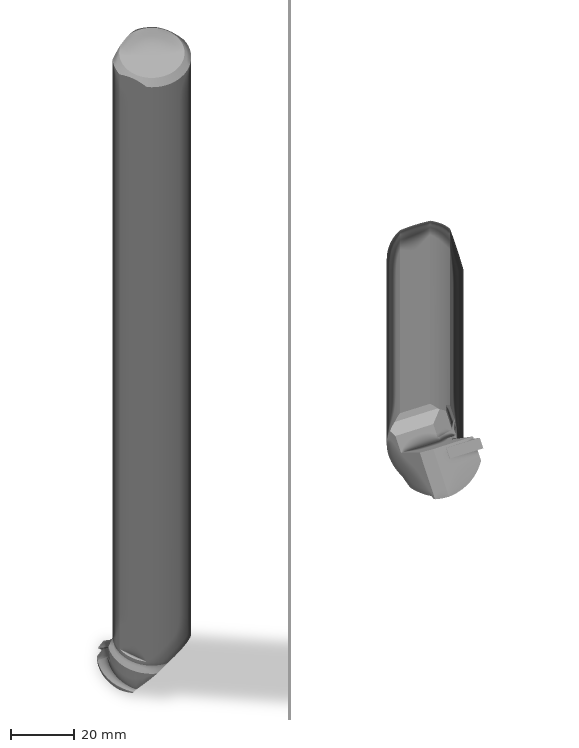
import cadquery as cq
import math

length = 301.2
shank_diameter = 25.0
shank_radius = shank_diameter / 2
side_flat_x = -10.2
front_flat_y = 11.5
top_chamfer = 2.0
collar_z = 15.5

rim_axis_x = -1.8
rim_axis_y = 1.2
rim_radius = 16.5
wall_radius = 14.2
rim_z = 2.0
rim_top_z = 4.2
rim_top_radius = 14.0
wall_top_z = 11.5
head_top_z = 13.5
head_face_y = 1.0
shank_end_z = 10.5

relief_top_z = 17.0
relief_foot_x = 1.8
relief_foot_z = 1.5
bottom_bend_x = -2.7
bottom_bend_z = 0.5

groove_x = -9.0
groove_foot_z = 6.3

insert_edge = 11.0
insert_angle = 35.0
insert_tilt = 3.0
insert_face_y = 0.0
insert_thickness = 3.5
overall_width = 30.5
insert_tip_x = shank_radius - overall_width
slope_foot_z = 1.0

gullet_floor_x = -9.3
gullet_side_y = 0.3
gullet_top_z = 29.2
gullet_floor_top_z = 25.0
gullet_floor_bottom_z = 16.0
gullet_end_x = -4.5
gullet_blend = 1.8
gullet_blend_depth = 0.5

bevel_start_z = 19.3
bevel_bend_y = 10.2
bevel_bend_z = 14.5
bevel_end_y = 6.5

reach = 36.0
upper_edge_slope = math.tan(math.radians(insert_angle + insert_tilt))


def prism_along_y(points, y_min, y_max):
    """Extrude an outline of (x, z) points from y_min to y_max."""
    profile = cq.Workplane("XZ", origin=(0, y_max, 0)).polyline(points).close()
    return profile.extrude(y_max - y_min)


def make_shank():
    bar = cq.Workplane("XY").circle(shank_radius).extrude(length)
    bar = bar.faces(">Z").chamfer(top_chamfer)
    flats = cq.Workplane("XY").box(
        shank_radius - side_flat_x, 2 * front_flat_y, length, centered=(False, True, False)
    )
    bar = bar.intersect(flats.translate((side_flat_x, 0, 0)))
    front_end = cq.Workplane("XY").box(2 * reach, reach, collar_z, centered=(True, False, False))
    rear_end = cq.Workplane("XY").box(2 * reach, reach, shank_end_z, centered=(True, False, False))
    bar = bar.cut(front_end.translate((0, head_face_y - reach, 0)))
    return bar.cut(rear_end.translate((0, head_face_y, 0)))


def revolve_about_z(points):
    """Revolve an outline of (radius, z) points about the Z axis."""
    return cq.Workplane("XZ").polyline(points).close().revolve(360, (0, 0), (0, 1))


def make_wall():
    """Round wall, stepped down by a cone to a collar as wide as the shank."""
    return revolve_about_z([
        (0, rim_z),
        (wall_radius, rim_z),
        (wall_radius, wall_top_z),
        (shank_radius, head_top_z),
        (shank_radius, collar_z),
        (0, collar_z),
    ])


def make_rim():
    rim = revolve_about_z([
        (0, 0),
        (rim_radius, 0),
        (rim_radius, rim_z),
        (rim_top_radius, rim_top_z),
        (0, rim_top_z),
    ])
    return rim.translate((rim_axis_x, rim_axis_y, 0))


def make_head_outline():
    """Side outline of the head: groove, insert slope and bottom."""
    slope_foot_x = groove_x - (groove_foot_z - slope_foot_z) / upper_edge_slope
    outline = (
        cq.Workplane("XZ", origin=(0, head_face_y, 0))
        .moveTo(side_flat_x, collar_z)
        .lineTo(side_flat_x, shank_end_z)
        .threePointArc((groove_x, (shank_end_z + groove_foot_z) / 2), (groove_x, groove_foot_z))
        .lineTo(slope_foot_x, slope_foot_z)
        .lineTo(bottom_bend_x, bottom_bend_z)
        .lineTo(relief_foot_x, relief_foot_z)
        .lineTo(reach, relief_foot_z)
        .lineTo(reach, relief_top_z)
        .lineTo(side_flat_x, relief_top_z)
        .close()
    )
    return outline.extrude(reach)


def make_head():
    return make_wall().union(make_rim()).intersect(make_head_outline())


def make_gullet():
    recess = [
        (side_flat_x, gullet_top_z),
        (gullet_floor_x, gullet_floor_top_z),
        (gullet_floor_x, gullet_floor_bottom_z),
        (gullet_end_x, shank_end_z),
        (-reach, shank_end_z),
        (-reach, gullet_top_z),
    ]
    shallow = [(x - gullet_blend_depth, z) for x, z in recess]
    deep_part = prism_along_y(recess, gullet_side_y + gullet_blend, reach)
    shallow_part = prism_along_y(shallow, gullet_side_y, gullet_side_y + gullet_blend)
    return deep_part.union(shallow_part)


def make_end_bevels():
    return (
        cq.Workplane("YZ", origin=(-reach, 0, 0))
        .polyline([
            (front_flat_y, bevel_start_z),
            (bevel_bend_y, bevel_bend_z),
            (bevel_end_y, shank_end_z),
            (reach, shank_end_z),
            (reach, bevel_start_z),
        ])
        .close()
        .extrude(2 * reach)
    )


def make_relief():
    """Everything beyond the sloped relief on the +X side."""
    corner = [
        (relief_foot_x, relief_foot_z),
        (shank_radius, relief_top_z),
        (reach, relief_top_z),
        (reach, 0),
        (relief_foot_x, 0),
    ]
    return prism_along_y(corner, -reach, reach)


def make_insert():
    low = math.radians(insert_tilt)
    high = math.radians(insert_tilt + insert_angle)
    low_end = (insert_tip_x + insert_edge * math.cos(low), insert_edge * math.sin(low))
    high_end = (insert_tip_x + insert_edge * math.cos(high), insert_edge * math.sin(high))
    far_end = (low_end[0] + high_end[0] - insert_tip_x, low_end[1] + high_end[1])
    return (
        cq.Workplane("XZ", origin=(0, insert_face_y, 0))
        .polyline([(insert_tip_x, 0), low_end, far_end, high_end])
        .close()
        .extrude(insert_thickness)
    )


def make_insert_seat(insert):
    """The insert's own space plus the opening from its face to the head face."""
    opening = insert.faces(">Y").wires().toPending().extrude(head_face_y - insert_face_y)
    return insert.union(opening)


insert = make_insert()
holder = make_shank().union(make_head())
holder = holder.cut(make_gullet()).cut(make_end_bevels()).cut(make_relief())
holder = holder.cut(make_insert_seat(insert))

result = cq.Compound.makeCompound([holder.val(), insert.val()])